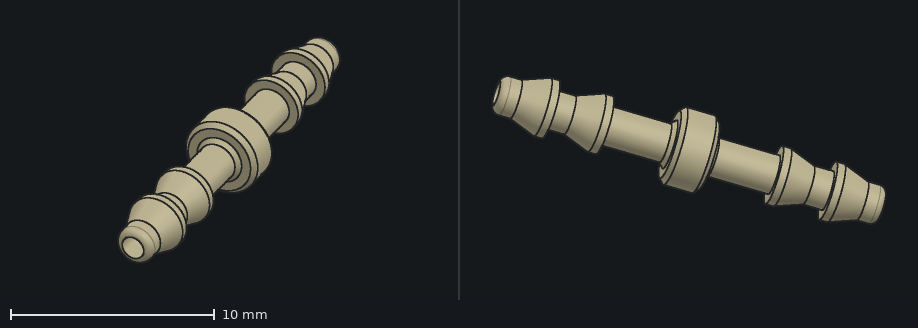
import cadquery as cq
import math

length = 20.0
tube_radius = 1.0
bore_radius = 0.6
tip_round = tube_radius - bore_radius

collar_radius = 2.0
collar_width = 2.0
collar_chamfer = 0.25
root_flare = 0.25

barb_radius = 1.5
barb_land = 0.42
barb_length = 1.8
barb_back_positions = (4.4, 7.2)


def barb_points(back):
    """Profile points (radius, Y) of a barb whose square rear face is at Y = back."""
    return [
        (tube_radius, back),
        (barb_radius, back),
        (barb_radius, back + barb_land),
        (tube_radius, back + barb_length),
    ]


half_length = length / 2
collar_face = collar_width / 2
tip_start = half_length - tip_round
tip_arc_middle = (
    bore_radius + tip_round * math.cos(math.pi / 4),
    tip_start + tip_round * math.sin(math.pi / 4),
)

half_outline = [
    (collar_radius, collar_face - collar_chamfer),
    (collar_radius - collar_chamfer, collar_face),
    (tube_radius + root_flare, collar_face),
    (tube_radius, collar_face + root_flare),
]
for barb_back in barb_back_positions:
    half_outline += barb_points(barb_back)
half_outline.append((tube_radius, tip_start))


def mirrored(point):
    """The same profile point on the -Y half."""
    radius, y = point
    return (radius, -y)


tip_end = (bore_radius, half_length)
outline = [mirrored(point) for point in reversed(half_outline)] + half_outline
wall_section = (
    cq.Workplane("XY")
    .moveTo(*mirrored(tip_end))
    .threePointArc(mirrored(tip_arc_middle), outline[0])
)
for point in outline[1:]:
    wall_section = wall_section.lineTo(*point)
wall_section = wall_section.threePointArc(tip_arc_middle, tip_end).close()

result = wall_section.revolve(360, (0, 0), (0, 1))